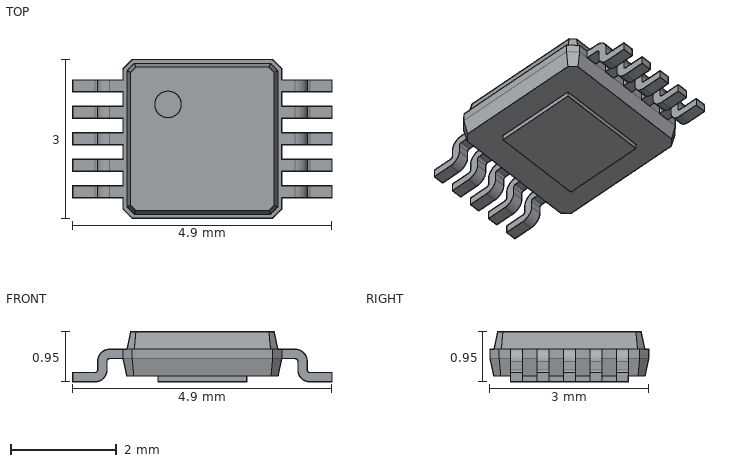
import cadquery as cq
import math

body_size = 3.0
corner_chamfer = 0.175
overall_height = 0.95
body_standoff = 0.11
lead_thickness = 0.18
draft_angle = 12.0
upper_size = 2.85
upper_chamfer = 0.14

taper_height = (overall_height - body_standoff - lead_thickness) / 2
band_bottom = body_standoff + taper_height
band_top = band_bottom + lead_thickness
draft_inset = taper_height * math.tan(math.radians(draft_angle))

lead_span = 4.9
lead_width = 0.23
lead_pitch = 0.5
leads_per_side = 5
shank_outer_x = 1.98
inner_bend_radius = 0.05
lead_embedment = 0.2

pad_length_x = 1.68
pad_length_y = 1.88
pad_overlap = 0.05

dimple_diameter = 0.5
dimple_offset = 0.65
dimple_depth = 0.1


def outline_points(size, chamfer, inset=0.0):
    """Square with cut corners, moved inward by the same distance on all eight sides."""
    half = size / 2 - inset
    short = half - (chamfer - inset * (2 - math.sqrt(2)))
    return [
        (half, -short), (half, short), (short, half), (-short, half),
        (-half, short), (-half, -short), (-short, -half), (short, -half),
    ]


def drafted_block(size, chamfer, wide_z, narrow_z):
    """Block of the given size at wide_z, drafted inward on every side up or down to narrow_z."""
    return (
        cq.Workplane("XY", origin=(0, 0, wide_z))
        .polyline(outline_points(size, chamfer)).close()
        .workplane(offset=narrow_z - wide_z)
        .polyline(outline_points(size, chamfer, draft_inset)).close()
        .loft(ruled=True, combine=True)
    )


def make_body():
    band = (
        cq.Workplane("XY", origin=(0, 0, band_bottom))
        .polyline(outline_points(body_size, corner_chamfer)).close()
        .extrude(lead_thickness)
    )
    lower = drafted_block(body_size, corner_chamfer, band_bottom, body_standoff)
    upper = drafted_block(upper_size, upper_chamfer, band_top, overall_height)
    return band.union(lower).union(upper)


def make_lead():
    """One lead of the +X side, centred on Y = 0."""
    inner_r = inner_bend_radius
    outer_r = inner_r + lead_thickness
    root_x = body_size / 2 - lead_embedment
    toe_x = lead_span / 2
    shank_inner_x = shank_outer_x - lead_thickness
    return (
        cq.Workplane("XZ", origin=(0, lead_width / 2, 0))
        .moveTo(root_x, band_top)
        .lineTo(shank_outer_x - outer_r, band_top)
        .radiusArc((shank_outer_x, band_top - outer_r), outer_r)
        .lineTo(shank_outer_x, lead_thickness + inner_r)
        .radiusArc((shank_outer_x + inner_r, lead_thickness), -inner_r)
        .lineTo(toe_x, lead_thickness)
        .lineTo(toe_x, 0)
        .lineTo(shank_inner_x + outer_r, 0)
        .radiusArc((shank_inner_x, outer_r), outer_r)
        .lineTo(shank_inner_x, band_bottom - inner_r)
        .radiusArc((shank_inner_x - inner_r, band_bottom), -inner_r)
        .lineTo(root_x, band_bottom)
        .close()
        .extrude(lead_width)
    )


def add_leads(part):
    right_lead = make_lead()
    left_lead = right_lead.mirror("YZ")
    for index in range(leads_per_side):
        y = (index - (leads_per_side - 1) / 2) * lead_pitch
        for lead in (right_lead, left_lead):
            part = part.union(lead.translate((0, y, 0)))
    return part


def make_pad():
    return cq.Workplane("XY").rect(pad_length_x, pad_length_y).extrude(body_standoff + pad_overlap)


def make_dimple():
    return (
        cq.Workplane("XY", origin=(-dimple_offset, dimple_offset, overall_height - dimple_depth))
        .circle(dimple_diameter / 2)
        .extrude(dimple_depth)
    )


result = add_leads(make_body()).union(make_pad()).cut(make_dimple())